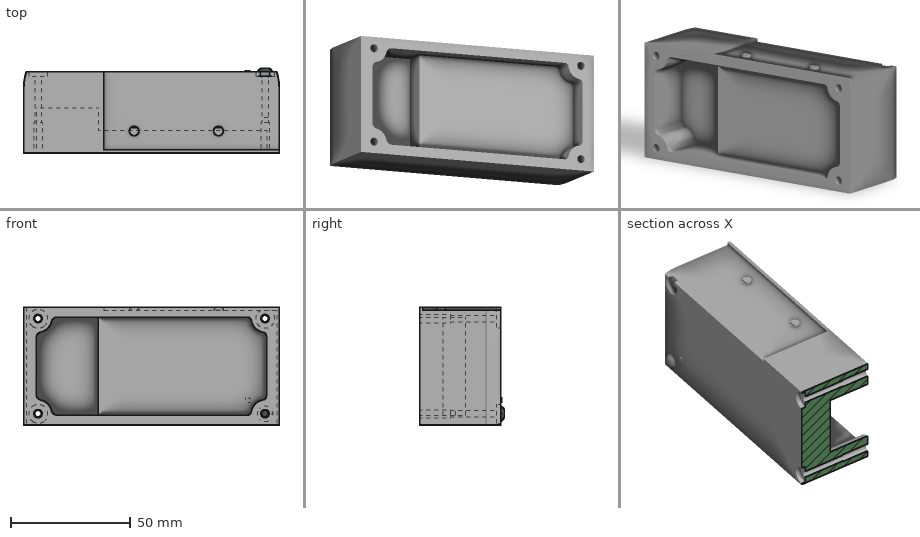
import cadquery as cq
import math

length = 107.3
body_depth = 34.1
height = 49.6
rear_rounding_depth = 6.4
rear_rounding_inset = 1.1

step_left = -20.0
step_drop = 1.4
front_lip = 1.4

cavity_left = -48.4
cavity_right = 48.3
cavity_margin_z = 4.2
shallow_depth = 9.7
deep_depth = 19.1
deep_right = -22.4
boss_radius = 5.8
left_blend_radius = 2.5
right_blend_radius = 1.8

hole_x = 47.6
hole_margin_z = 4.8
bore_diameter = 3.4
bore_depth = 12.9
through_diameter = 2.8

counterbore_diameter = 7.9
counterbore_depth = 1.9

head_diameter = 6.5
head_height = 1.5
skirt_diameter = 5.6
skirt_height = 0.4
head_top_diameter = 2.8
head_arc_bulge = 0.2
shank_start = 15.0

pin_diameter = 4.0
pin_height = step_drop
pin_flat_offset = 1.3
pin_flat_height = 1.1
pin_xs = (-7.3, 28.1)
pin_y = 9.2

pad_x = 40.3
pad_z = 10.5
pad_size = 1.8
pad_thickness = 0.3

half_length = length / 2
step_z = height - step_drop
hole_low_z = hole_margin_z
hole_high_z = height - hole_margin_z


def box(x_range, y_range, z_range):
    """Box spanning the given (low, high) ranges."""
    size = [high - low for low, high in (x_range, y_range, z_range)]
    corner = (x_range[0], y_range[0], z_range[0])
    return cq.Workplane("XY").box(*size, centered=False).translate(corner)


def cylinder_along_y(diameter, x, z, y_start, y_end):
    """Cylinder parallel to Y between two depths."""
    circle = cq.Workplane("XZ", origin=(x, y_start, z)).circle(diameter / 2)
    return circle.extrude(y_start - y_end)


def make_body():
    """Block whose rear side edges curve inward, tangent to the sides."""
    radius = (rear_rounding_depth**2 + rear_rounding_inset**2) / (2 * rear_rounding_inset)
    half_angle = math.asin(rear_rounding_depth / radius) / 2
    side_y = body_depth - rear_rounding_depth
    middle_x = half_length - radius * (1 - math.cos(half_angle))
    middle_y = side_y + radius * math.sin(half_angle)
    rear_x = half_length - rear_rounding_inset
    return (
        cq.Workplane("XY")
        .moveTo(-half_length, 0)
        .lineTo(half_length, 0)
        .lineTo(half_length, side_y)
        .threePointArc((middle_x, middle_y), (rear_x, body_depth))
        .lineTo(-rear_x, body_depth)
        .threePointArc((-middle_x, middle_y), (-half_length, side_y))
        .close()
        .extrude(height)
    )


def make_cavity():
    """Two-level pocket that passes around a rounded boss at each screw hole."""
    z_range = (cavity_margin_z, height - cavity_margin_z)
    cavity = box((cavity_left, cavity_right), (0, deep_depth), z_range)
    for x in (-hole_x, hole_x):
        for z in (hole_low_z, hole_high_z):
            cavity = cavity.cut(cylinder_along_y(2 * boss_radius, x, z, 0, deep_depth))
    left_side = cq.selectors.BoxSelector((-half_length, 0, 0), (0, deep_depth, height))
    right_side = cq.selectors.BoxSelector((0, 0, 0), (half_length, deep_depth, height))
    cavity = cavity.edges("|Y").edges(left_side).fillet(left_blend_radius)
    cavity = cavity.edges("|Y").edges(right_side).fillet(right_blend_radius)
    shallow_floor = box((deep_right, half_length), (shallow_depth, deep_depth), (0, height))
    return cavity.cut(shallow_floor)


def make_screw_hole(x, z, counterbored):
    """Front bore narrowing to a smaller hole through to the rear, with an optional rear counterbore."""
    hole = cylinder_along_y(bore_diameter, x, z, 0, bore_depth)
    hole = hole.union(cylinder_along_y(through_diameter, x, z, 0, body_depth))
    if counterbored:
        floor_y = body_depth - counterbore_depth
        hole = hole.union(cylinder_along_y(counterbore_diameter, x, z, floor_y, body_depth))
    return hole


def make_screw():
    """Shank filling the narrow hole, with a conical skirt and a domed, flat-topped head on the rear face."""
    head_radius = head_diameter / 2
    shank_radius = through_diameter / 2
    skirt_top = (skirt_diameter / 2, body_depth + skirt_height)
    head_top = (head_top_diameter / 2, body_depth + head_height)
    profile = (
        cq.Workplane("XY")
        .moveTo(0, shank_start)
        .lineTo(shank_radius, shank_start)
        .lineTo(shank_radius, body_depth)
        .lineTo(head_radius, body_depth)
        .lineTo(*skirt_top)
        .sagittaArc(head_top, -head_arc_bulge)
        .lineTo(0, head_top[1])
        .close()
    )
    screw = profile.revolve(360, (0, 0, 0), (0, 1, 0))
    return screw.translate((hole_x, 0, hole_low_z))


def make_pin(x):
    """Upright pin whose upper part has a flat facing +Y."""
    radius = pin_diameter / 2
    pin = cq.Workplane("XY", origin=(x, pin_y, step_z)).circle(radius).extrude(pin_height)
    pin_top = step_z + pin_height
    flat = box(
        (x - radius, x + radius),
        (pin_y + pin_flat_offset, pin_y + radius),
        (pin_top - pin_flat_height, pin_top),
    )
    return pin.cut(flat)


def make_pad():
    """Thin square pad standing proud of the rear face."""
    half = pad_size / 2
    return box(
        (pad_x - half, pad_x + half),
        (body_depth, body_depth + pad_thickness),
        (pad_z - half, pad_z + half),
    )


result = make_body()
result = result.cut(box((step_left, half_length), (front_lip, body_depth), (step_z, height)))
result = result.cut(make_cavity())
for hole_side_x in (-hole_x, hole_x):
    for hole_z in (hole_low_z, hole_high_z):
        holds_screw = hole_side_x > 0 and hole_z == hole_low_z
        result = result.cut(make_screw_hole(hole_side_x, hole_z, not holds_screw))
result = result.union(make_screw())
for pin_x in pin_xs:
    result = result.union(make_pin(pin_x))
result = result.union(make_pad())